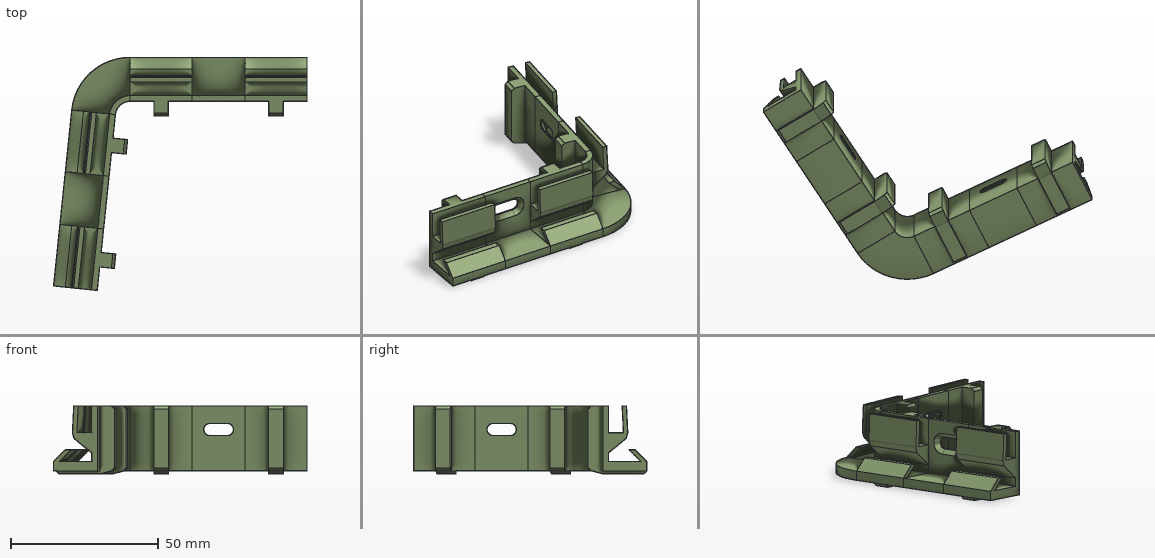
import cadquery as cq
import math

overall_length = 86.1
bend_angle = 84.1

base_width = 15.0
base_thickness = 3.2
wall_thickness = 2.0
wall_height = 22.0
inner_radius = 5.0
outer_radius = inner_radius + base_width
wall_back = inner_radius + wall_thickness

lean = math.radians(90 - bend_angle)
arm_length = (overall_length - outer_radius * math.cos(lean)) / (1 + math.sin(lean))
plain_length = 18.0
clip_length = (arm_length - plain_length) / 2

lip_top = 7.2
lip_width = 2.1
lip_lean = lip_top - base_thickness

slot_floor = 13.0
slot_width = 5.0
hook_thickness = 1.55
hook_lean = 0.4
shoulder_height = 11.0
shoulder_inset = 0.5
hook_root = 6.1

rib_width = 5.0
rib_reach = 5.0
rib_drop = 1.0
rib_chamfer = 1.0

hole_length = 10.0
hole_height = 4.05
hole_center_height = 14.0
countersink_margin = 1.55


def extrude_centered(outline, length):
    """Extrude a closed (y, z) outline along X, half to each side of X = 0."""
    return cq.Workplane("YZ").polyline(outline).close().extrude(length / 2, both=True)


def l_outline():
    return [
        (inner_radius, 0),
        (outer_radius, 0),
        (outer_radius, base_thickness),
        (wall_back, base_thickness),
        (wall_back, wall_height),
        (inner_radius, wall_height),
    ]


def clip_outline():
    hook_inner = wall_back + slot_width
    hook_outer = hook_inner + hook_thickness
    lip_tip = outer_radius - lip_lean
    return [
        (inner_radius, 0),
        (outer_radius, 0),
        (outer_radius, base_thickness),
        (lip_tip, lip_top),
        (lip_tip - lip_width, lip_top),
        (outer_radius - lip_width, base_thickness),
        (wall_back, base_thickness),
        (wall_back, hook_root),
        (hook_outer - shoulder_inset, shoulder_height),
        (hook_outer, slot_floor),
        (hook_outer - hook_lean, wall_height),
        (hook_inner - hook_lean, wall_height),
        (hook_inner, slot_floor),
        (wall_back, slot_floor),
        (wall_back, wall_height),
        (inner_radius, wall_height),
    ]


def rib_outline():
    rib_tip = inner_radius - rib_reach
    return [
        (outer_radius, 0),
        (outer_radius - rib_drop, -rib_drop),
        (inner_radius, -rib_drop),
        (rib_tip + rib_chamfer, 0),
        (rib_tip, rib_chamfer),
        (rib_tip, wall_height - rib_chamfer),
        (rib_tip + rib_chamfer, wall_height),
        (inner_radius, wall_height),
        (inner_radius, 0),
    ]


def make_clip_section():
    return extrude_centered(clip_outline(), clip_length).union(extrude_centered(rib_outline(), rib_width))


def make_plain_section():
    section = extrude_centered(l_outline(), plain_length)
    hole = (
        cq.Workplane("XZ", origin=(0, inner_radius, hole_center_height))
        .slot2D(hole_length, hole_height)
        .extrude(-wall_thickness)
    )
    countersink = (
        cq.Workplane("XZ", origin=(0, wall_back, hole_center_height))
        .slot2D(hole_length + 2 * countersink_margin, hole_height + 2 * countersink_margin)
        .workplane(offset=countersink_margin)
        .slot2D(hole_length, hole_height)
        .loft(ruled=True)
    )
    return section.cut(hole).cut(countersink)


def make_bend():
    """The L section swept round the Z axis from the straight arm to the leaning arm."""
    return (
        cq.Workplane("YZ")
        .polyline(l_outline())
        .close()
        .revolve(bend_angle, (0, 0, 0), (0, 1, 0))
    )


def place_on_both_arms(section, station):
    """One copy with its middle `station` from the bend on each arm."""
    on_straight_arm = section.translate((station, 0, 0))
    on_leaning_arm = section.translate((-station, 0, 0)).rotate((0, 0, 0), (0, 0, 1), bend_angle)
    return [on_straight_arm.val(), on_leaning_arm.val()]


bend = make_bend()

clip_sections = []
for clip_station in (clip_length / 2, arm_length - clip_length / 2):
    clip_sections += place_on_both_arms(make_clip_section(), clip_station)

plain_sections = place_on_both_arms(make_plain_section(), arm_length / 2)

result = cq.Compound.makeCompound([bend.val(), *clip_sections, *plain_sections])